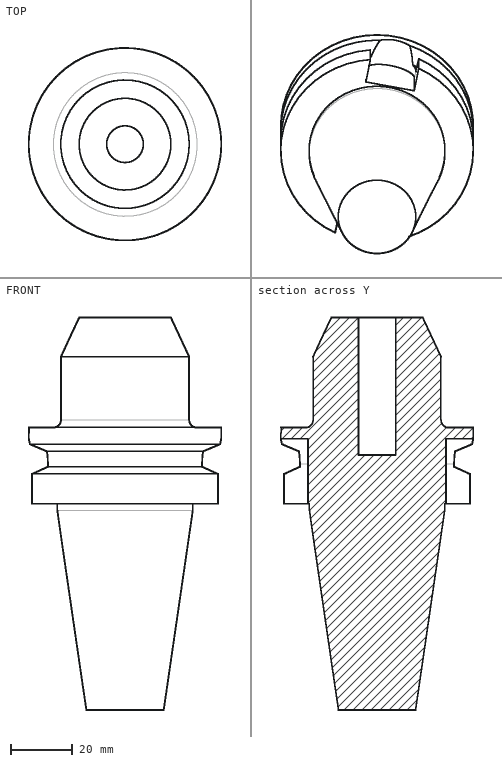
import cadquery as cq
import math


gauge_radius = 44.45 / 2
taper_length = 65.4
taper_ratio = 7 / 24
taper_end_radius = gauge_radius - taper_length * taper_ratio / 2

flange_radius = 63 / 2
flange_bottom = 2.0
flange_top = 27.0
groove_center = 16.65
groove_floor_radius = 53.0 / 2
groove_floor_width = 5.0
groove_mouth_width = 9.7

nose_radius = 42 / 2
nose_tip_radius = 30 / 2
nose_top = 63.0
nose_cone_angle = 25.0
nose_fillet = 2.5
nose_cone_height = (nose_radius - nose_tip_radius) / math.tan(math.radians(nose_cone_angle))

bore_diameter = 12.0
bore_depth = 45.0

slot_width = 16.1
slot_top = 23.2
slot_floor = 22.6


def make_body():
    """Revolve the half outline of the shank, flange and nose."""
    fillet_center_radius = nose_radius + nose_fillet
    fillet_center_z = flange_top + nose_fillet
    fillet_offset = nose_fillet * math.sqrt(0.5)
    fillet_middle = (fillet_center_radius - fillet_offset, fillet_center_z - fillet_offset)
    outline = (
        cq.Workplane("XZ")
        .moveTo(0, -taper_length)
        .lineTo(taper_end_radius, -taper_length)
        .lineTo(gauge_radius, 0)
        .lineTo(gauge_radius, flange_bottom)
        .lineTo(flange_radius, flange_bottom)
        .lineTo(flange_radius, groove_center - groove_mouth_width / 2)
        .lineTo(groove_floor_radius, groove_center - groove_floor_width / 2)
        .lineTo(groove_floor_radius, groove_center + groove_floor_width / 2)
        .lineTo(flange_radius, groove_center + groove_mouth_width / 2)
        .lineTo(flange_radius, flange_top)
        .lineTo(fillet_center_radius, flange_top)
        .threePointArc(fillet_middle, (nose_radius, fillet_center_z))
        .lineTo(nose_radius, nose_top - nose_cone_height)
        .lineTo(nose_tip_radius, nose_top)
        .lineTo(0, nose_top)
        .close()
    )
    return outline.revolve(360, (0, 0, 0), (0, 1, 0))


def make_bore():
    """Flat-bottomed bore down from the tip of the nose."""
    return cq.Workplane("XY").workplane(offset=nose_top).circle(bore_diameter / 2).extrude(-bore_depth)


def make_slot(side):
    """Drive slot cutter on one side of the flange: side is -1 for -X, +1 for +X."""
    half_width = slot_width / 2
    round_center_z = slot_top - half_width
    return (
        cq.Workplane("YZ")
        .workplane(offset=side * slot_floor)
        .moveTo(-half_width, flange_bottom)
        .lineTo(half_width, flange_bottom)
        .lineTo(half_width, round_center_z)
        .threePointArc((0, slot_top), (-half_width, round_center_z))
        .close()
        .extrude(side * (flange_radius - slot_floor))
    )


result = make_body().cut(make_bore())
for slot_side in (-1, 1):
    result = result.cut(make_slot(slot_side))